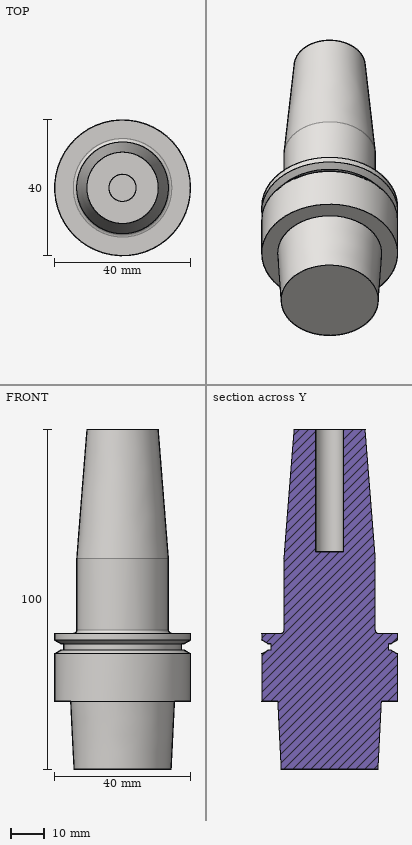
import cadquery as cq

shank_length = 20.0
shank_root_diameter = 30.6
shank_taper = 0.1
shank_end_diameter = shank_root_diameter - shank_taper * shank_length

flange_diameter = 40.0
flange_height = 20.0

groove_center_z = 16.0
groove_slot_width = 1.8
groove_mouth_width = 4.0
groove_bevel_diameter = 36.2
groove_floor_diameter = 34.8

nose_tip_z = 80.0
nose_cone_start_z = 42.0
nose_diameter = 27.0
nose_tip_diameter = 21.0
nose_root_fillet = 1.0

bore_diameter = 8.0
bore_depth = 36.0


def solid_body():
    """Shank, flange and nose, revolved around the Z axis."""
    flange_radius = flange_diameter / 2
    nose_radius = nose_diameter / 2
    profile = (
        cq.Workplane("XZ")
        .moveTo(0, -shank_length)
        .lineTo(shank_end_diameter / 2, -shank_length)
        .lineTo(shank_root_diameter / 2, 0)
        .lineTo(flange_radius, 0)
        .lineTo(flange_radius, flange_height)
        .lineTo(nose_radius + nose_root_fillet, flange_height)
        .radiusArc((nose_radius, flange_height + nose_root_fillet), nose_root_fillet)
        .lineTo(nose_radius, nose_cone_start_z)
        .lineTo(nose_tip_diameter / 2, nose_tip_z)
        .lineTo(0, nose_tip_z)
        .close()
    )
    return profile.revolve(360, (0, 0, 0), (0, 1, 0))


def gripper_groove():
    """Ring of material removed from the rim of the flange."""
    rim_radius = flange_diameter / 2
    bevel_radius = groove_bevel_diameter / 2
    floor_radius = groove_floor_diameter / 2
    half_slot = groove_slot_width / 2
    half_mouth = groove_mouth_width / 2
    profile = (
        cq.Workplane("XZ", origin=(0, 0, groove_center_z))
        .moveTo(rim_radius, -half_mouth)
        .lineTo(bevel_radius, -half_slot)
        .lineTo(floor_radius, -half_slot)
        .lineTo(floor_radius, half_slot)
        .lineTo(bevel_radius, half_slot)
        .lineTo(rim_radius, half_mouth)
        .close()
    )
    return profile.revolve(360, (0, 0, 0), (0, 1, 0))


def tool_bore():
    """Blind cylindrical hole down from the nose tip."""
    return (
        cq.Workplane("XY", origin=(0, 0, nose_tip_z - bore_depth))
        .circle(bore_diameter / 2)
        .extrude(bore_depth)
    )


result = solid_body().cut(gripper_groove()).cut(tool_bore())